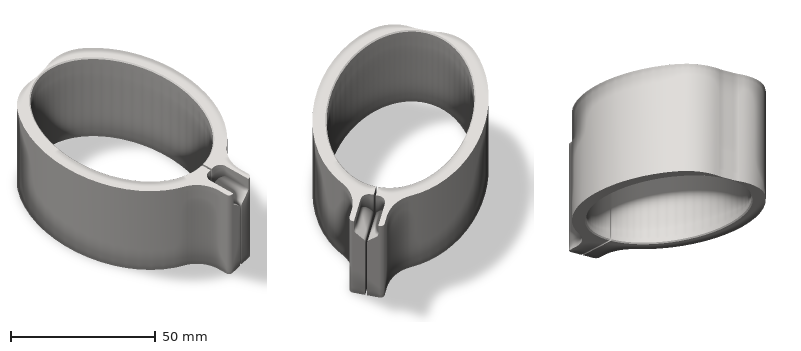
import cadquery as cq
import math

height = 40.0
width = 60.0
length = 88.3
bore_half_length = 35.0
bore_half_width = 25.0
wall = width / 2 - bore_half_width
outer_half_length = bore_half_length + wall
outer_half_width = bore_half_width + wall
bore_chamfer = 0.4

back_x = -36.3
back_round_half_width = 18.6
hinge_wall = 0.9
hinge_x = -(bore_half_length + hinge_wall)
hinge_half_width = 2.0

lug_end_x = back_x + length
lug_half_width = 6.3
lug_root_radius = 12.5
lug_end_radius = 1.5
slit_width = 0.7

pocket_start_x = 39.0
pocket_half_width = 4.3
pocket_corner_radius = 3.0
pocket_wall_depth = 4.9
floor_angle = math.radians(45)
floor_radius = 2.0


def back_profile():
    """Area kept by the back: two round shoulders blending into a flat hinge."""
    join_y = back_round_half_width
    join_x = -outer_half_length * math.sqrt(1 - (join_y / outer_half_width) ** 2)
    normal = math.atan2(join_y / outer_half_width**2, -join_x / outer_half_length**2)
    shoulder_radius = (join_x - back_x) / (1 - math.cos(normal))
    center_x = back_x + shoulder_radius
    center_y = join_y - shoulder_radius * math.sin(normal)

    step = hinge_x - back_x
    blend_angle = 2 * math.atan(step / (center_y - hinge_half_width))
    hollow_radius = step / (1 - math.cos(blend_angle)) - shoulder_radius

    def on_shoulder(angle):
        return (center_x - shoulder_radius * math.cos(angle), center_y + shoulder_radius * math.sin(angle))

    def mirrored(point):
        return (point[0], -point[1])

    join = (join_x, join_y)
    shoulder_mid = on_shoulder((normal - blend_angle) / 2)
    shoulder_end = on_shoulder(-blend_angle)
    hollow_mid = (
        hinge_x - hollow_radius * (1 - math.cos(blend_angle / 2)),
        hinge_half_width + hollow_radius * math.sin(blend_angle / 2),
    )
    hinge_end = (hinge_x, hinge_half_width)
    return (
        cq.Workplane("XY")
        .moveTo(*join)
        .threePointArc(shoulder_mid, shoulder_end)
        .threePointArc(hollow_mid, hinge_end)
        .lineTo(*mirrored(hinge_end))
        .threePointArc(mirrored(hollow_mid), mirrored(shoulder_end))
        .threePointArc(mirrored(shoulder_mid), mirrored(join))
        .lineTo(join_x, -width)
        .lineTo(lug_end_x, -width)
        .lineTo(lug_end_x, width)
        .lineTo(join_x, width)
        .close()
    )


def body():
    """Oval with a shaped back and a lug, before any bore or slit."""
    oval = cq.Workplane("XY").ellipse(outer_half_length, outer_half_width).extrude(height)
    oval = oval.intersect(back_profile().extrude(height))
    lug = cq.Workplane("XY").box(lug_end_x, 2 * lug_half_width, height, centered=(False, True, False))
    joined = oval.union(lug)
    root_x = outer_half_length * math.sqrt(1 - (lug_half_width / outer_half_width) ** 2)
    reach = 0.9
    root_box = cq.selectors.BoxSelector(
        (root_x - reach, -lug_half_width - reach, height / 2 - reach),
        (root_x + reach, lug_half_width + reach, height / 2 + reach),
    )
    joined = joined.edges(root_box).fillet(lug_root_radius)
    return joined.faces(">X").edges("|Z").fillet(lug_end_radius)


def bore():
    """Oval bore with a chamfer at both ends."""
    hole = cq.Workplane("XY").ellipse(bore_half_length, bore_half_width).extrude(height)
    mouth = (
        cq.Workplane("XY")
        .ellipse(bore_half_length + bore_chamfer, bore_half_width + bore_chamfer)
        .workplane(offset=bore_chamfer)
        .ellipse(bore_half_length, bore_half_width)
        .loft(ruled=True)
    )
    far_mouth = mouth.mirror("XY").translate((0, 0, height))
    return hole.union(mouth).union(far_mouth)


def pocket():
    """Round-cornered pocket whose floor falls from both walls to the slit."""
    pocket_length = lug_end_x - pocket_start_x
    half_slit = slit_width / 2
    shoulder_z = height - pocket_wall_depth
    bend_width = floor_radius * (1 - math.sin(floor_angle))
    bend_drop = floor_radius * math.cos(floor_angle)
    slope_width = pocket_half_width - half_slit - 2 * bend_width
    slope_drop = slope_width * math.tan(floor_angle)
    mid = (math.pi / 2 - floor_angle) / 2
    mid_width = floor_radius * (1 - math.cos(mid))
    mid_drop = floor_radius * math.sin(mid)

    slope_top = (pocket_half_width - bend_width, shoulder_z - bend_drop)
    slope_end = (half_slit + bend_width, shoulder_z - bend_drop - slope_drop)
    slit_z = slope_end[1] - bend_drop
    half = (
        cq.Workplane("YZ", origin=(pocket_start_x, 0, 0))
        .moveTo(0, height)
        .lineTo(pocket_half_width, height)
        .lineTo(pocket_half_width, shoulder_z)
        .threePointArc((pocket_half_width - mid_width, shoulder_z - mid_drop), slope_top)
        .lineTo(*slope_end)
        .threePointArc((half_slit + mid_width, slit_z + mid_drop), (half_slit, slit_z))
        .lineTo(0, slit_z)
        .close()
        .extrude(pocket_length)
    )
    outline = (
        cq.Workplane("XY")
        .box(pocket_length, 2 * pocket_half_width, height, centered=(False, True, False))
        .edges("|Z and <X")
        .fillet(pocket_corner_radius)
        .translate((pocket_start_x, 0, 0))
    )
    return half.union(half.mirror("XZ")).intersect(outline)


slit = cq.Workplane("XY").box(lug_end_x, slit_width, height, centered=(False, True, False))

result = body().cut(bore()).cut(pocket()).cut(slit)